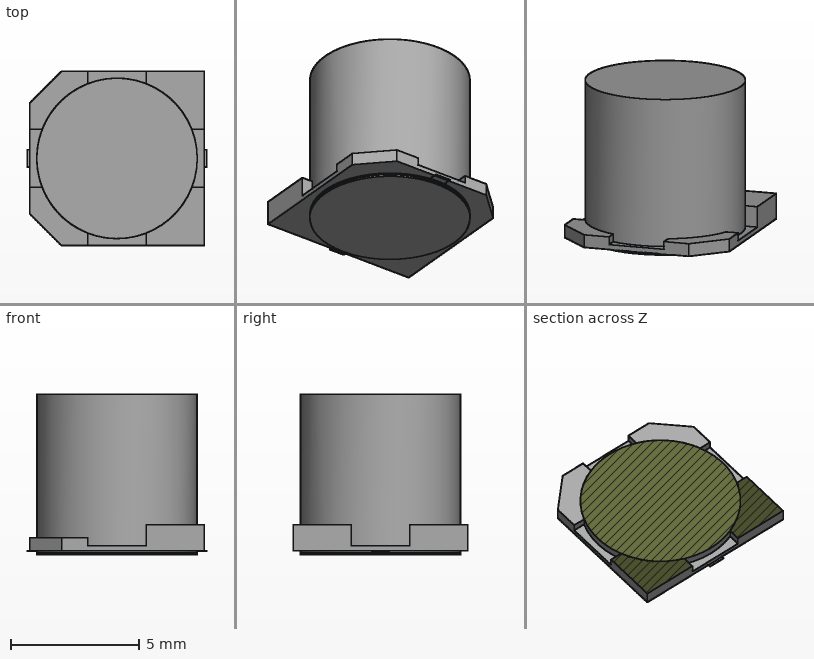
import cadquery as cq

total_height = 6.25
can_diameter = 6.25
base_width = 6.8
lead_span = 7.0

disc_thickness = 0.08

base_bottom = 0.15
recess_floor_thickness = 0.2
low_corner_height = 0.51
tall_corner_height = 2 * low_corner_height
recess_width = base_width / 3
corner_chamfer = 1.24

lead_width = base_width / 10
lead_thickness = 0.01

can_radius = can_diameter / 2


def cylinder(bottom, top):
    """Round body of the can's diameter between two heights."""
    return cq.Workplane("XY").workplane(offset=bottom).circle(can_radius).extrude(top - bottom)


def base_slab(height):
    """Slab standing on the base's bottom face, with the two -X corners chamfered."""
    return (
        cq.Workplane("XY")
        .workplane(offset=base_bottom)
        .rect(base_width, base_width)
        .extrude(height)
        .edges("|Z and <X")
        .chamfer(corner_chamfer)
    )


def corner_blocks(side_x, height):
    """Two blocks at one X side of the base, left between the middle recesses."""
    block_width = (base_width - recess_width) / 2
    block_offset = (recess_width + block_width) / 2
    centres = [(side_x * block_offset, side_y * block_offset) for side_y in (-1, 1)]
    return (
        cq.Workplane("XY")
        .workplane(offset=base_bottom)
        .pushPoints(centres)
        .rect(block_width, block_width)
        .extrude(height)
    )


def make_base():
    """Thin floor with low chamfered corners at -X, tall square ones at +X and a hole for the can."""
    corners = corner_blocks(-1, low_corner_height).add(corner_blocks(1, tall_corner_height)).combine()
    chamfered_corners = corners.intersect(base_slab(tall_corner_height))
    base = base_slab(recess_floor_thickness).union(chamfered_corners)
    return base.cut(cylinder(0, total_height))


def make_lead(side_x):
    """Foil strip under the base, from the can's wall to just past the base's edge."""
    length = lead_span / 2
    strip = (
        cq.Workplane("XY")
        .workplane(offset=base_bottom - lead_thickness)
        .center(side_x * length / 2, 0)
        .rect(length, lead_width)
        .extrude(lead_thickness)
    )
    return strip.cut(cylinder(0, total_height))


bottom_disc = cylinder(0, disc_thickness)
can = cylinder(disc_thickness, total_height)
base = make_base()
leads = [make_lead(side_x) for side_x in (-1, 1)]

result = cq.Compound.makeCompound(
    [can.val(), bottom_disc.val(), base.val(), *[lead.val() for lead in leads]]
)